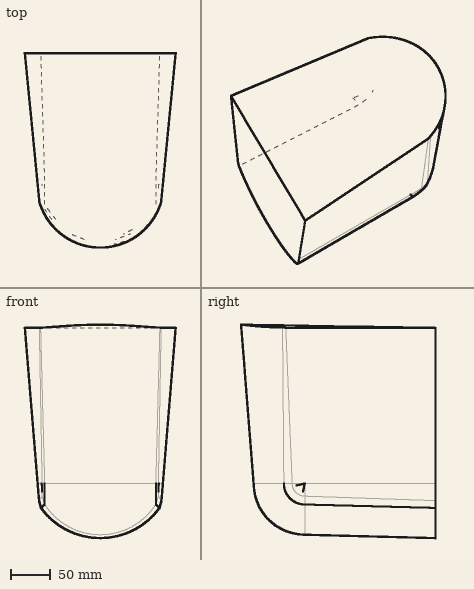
import cadquery as cq

width = 190.0
depth = 245.0
height = 269.0
crown = 4.0
bottom = crown - height

side_low_z = -217.5
side_low_half = 77.2
side_front_y = -188.5
side_front_half = 76.5

pivot_y = -164.5
pivot_z = -196.0
corner_side = (73.0, 15.9)
corner_band = (70.0, 26.3)
corner_tip = 64.5

band_front = (75.0, -192.5)
band_low = (74.7, -226.7)

trim_half = 161.3
trim_top = 27.0


def blend(start, end, fraction):
    """Point on the line from start to end; fractions below zero extend it."""
    return tuple(a + (b - a) * fraction for a, b in zip(start, end))


def shell_section(plane, base, side, band, tip):
    """Symmetric section: straight base, flat sides, narrow bands and a bulged arc."""
    return (
        cq.Workplane(plane)
        .moveTo(-base[0], base[1])
        .lineTo(-side[0], side[1])
        .lineTo(-band[0], band[1])
        .threePointArc((0, tip), band)
        .lineTo(*side)
        .lineTo(*base)
        .close()
        .wire()
        .val()
    )


def level(z):
    return cq.Plane(origin=(0, 0, z), xDir=(1, 0, 0), normal=(0, 0, 1))


def upright(y):
    return cq.Plane(origin=(0, y, 0), xDir=(1, 0, 0), normal=(0, -1, 0))


joint_back_half = blend((width / 2,), (side_low_half,), pivot_z / side_low_z)[0]
joint_side = (corner_side[0], pivot_y - corner_side[1])
joint_band = (corner_band[0], pivot_y - corner_band[1])
joint_tip = pivot_y - corner_tip

rise = crown / pivot_z
upper_top = shell_section(
    level(crown),
    blend((width / 2, 0), (joint_back_half, 0), rise),
    blend((side_front_half, side_front_y), joint_side, rise),
    blend(band_front, joint_band, rise),
    -depth,
)
upper_joint = shell_section(level(pivot_z), (joint_back_half, 0), joint_side, joint_band, joint_tip)
upper = cq.Workplane(cq.Solid.makeLoft([upper_top, upper_joint], True))

pivot_half = blend((joint_back_half,), (corner_side[0],), pivot_y / joint_side[1])[0]
lower_back = shell_section(
    upright(0), (joint_back_half, pivot_z), (side_low_half, side_low_z), band_low, bottom
)
lower_front = shell_section(
    upright(pivot_y),
    (pivot_half, pivot_z),
    (corner_side[0], pivot_z - corner_side[1]),
    (corner_band[0], pivot_z - corner_band[1]),
    pivot_z - corner_tip,
)
lower = cq.Workplane(cq.Solid.makeLoft([lower_back, lower_front], True))

corner_plane = cq.Plane(origin=(0, pivot_y, pivot_z), xDir=(1, 0, 0), normal=(0, 0, 1))
corner_wire = shell_section(
    corner_plane,
    (pivot_half, 0),
    (corner_side[0], -corner_side[1]),
    (corner_band[0], -corner_band[1]),
    -corner_tip,
)
corner = cq.Workplane(
    cq.Solid.revolve(
        corner_wire, [], 90, cq.Vector(0, pivot_y, pivot_z), cq.Vector(2.7, pivot_y, pivot_z)
    )
)

tip_edge_half = blend((width / 2,), (side_front_half,), depth / -side_front_y)[0]


def trim_section(y, edge_half, mid_z):
    sketch = cq.Workplane(upright(y)).moveTo(-trim_half, 0).lineTo(-edge_half, 0)
    if mid_z > 0:
        sketch = sketch.threePointArc((0, mid_z), (edge_half, 0))
    else:
        sketch = sketch.lineTo(edge_half, 0)
    return (
        sketch.lineTo(trim_half, 0).lineTo(trim_half, trim_top).lineTo(-trim_half, trim_top)
        .close().wire().val()
    )


top_trim = cq.Solid.makeLoft(
    [trim_section(0, width / 2, 0), trim_section(-depth, tip_edge_half, crown)], True
)

result = upper.cut(cq.Workplane(top_trim)).union(lower).union(corner)